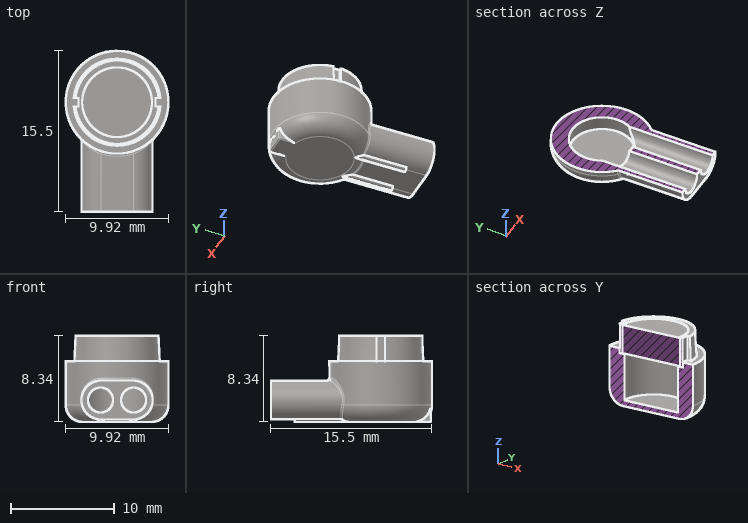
import cadquery as cq
cup_diameter = 9.92
cup_radius = cup_diameter / 2
cup_height = 5.87
cup_bottom_fillet = 1.66
cavity_diameter = 6.35
cavity_floor = 0.67

recess_diameter = 8.39
recess_depth = 0.5
recess_floor = cup_height - recess_depth

total_length = 15.53
spout_end = cup_radius - total_length
spout_height = 3.75
spout_flat_width = 3.12
spout_axis_height = 2.13
spout_bottom = spout_axis_height - spout_height / 2
spout_root_fillet = 0.25
bore_diameter = 2.4
bore_spacing = 3.18

rail_width = 0.65
rail_spacing = spout_flat_width
rail_end = -8.3
rail_overlap = 0.15

foot_width = 2.39
foot_back = 4.86
foot_height = 1.25
foot_fillet = 0.14

total_height = 8.34
collar_height = total_height - recess_floor
collar_top_diameter = 8.05
collar_bottom_diameter = 8.32
slot_width = 0.78
slot_floor_radius = 3.71
key_overlap = 0.15

disc_diameter = 6.72
disc_setback = 0.05


def key_blocks(bottom, height):
    """Two opposite blocks reaching from the slot floors to the recess wall and a little past it."""
    reach = recess_diameter / 2 + key_overlap - slot_floor_radius
    blocks = cq.Workplane("XY")
    for side in (-1, 1):
        block = cq.Workplane("XY").box(reach, slot_width, height, centered=(True, True, False))
        blocks = blocks.add(block.translate((side * (slot_floor_radius + reach / 2), 0, bottom)))
    return blocks.combine()


def make_cup():
    cup = cq.Workplane("XY").circle(cup_radius).extrude(cup_height)
    return cup.faces("<Z").edges().fillet(cup_bottom_fillet)


def make_spout():
    profile = cq.Workplane("XZ", origin=(0, 0, spout_axis_height))
    return profile.slot2D(spout_flat_width + spout_height, spout_height).extrude(-spout_end)


def make_rail(x):
    """Rail with a half-round underside, running from the cup axis to the rail end."""
    radius = rail_width / 2
    top = spout_bottom + rail_overlap
    profile = (
        cq.Workplane("XZ", origin=(x, 0, 0))
        .moveTo(-radius, top)
        .lineTo(-radius, radius)
        .threePointArc((0, 0), (radius, radius))
        .lineTo(radius, top)
        .close()
    )
    return profile.extrude(-rail_end)


def make_foot():
    foot = cq.Workplane("XY").box(foot_width, foot_back, foot_height, centered=(True, False, False))
    return foot.edges("(|Z and >Y) or (<Z and (not <Y))").fillet(foot_fillet)


def make_housing():
    housing = make_cup().union(make_spout())
    housing = housing.edges("not (%CIRCLE or %LINE)").fillet(spout_root_fillet)
    for side in (-1, 1):
        housing = housing.union(make_rail(side * rail_spacing / 2))
    housing = housing.union(make_foot())

    cavity = (
        cq.Workplane("XY", origin=(0, 0, cavity_floor))
        .circle(cavity_diameter / 2).extrude(recess_floor - cavity_floor)
    )
    recess = (
        cq.Workplane("XY", origin=(0, 0, recess_floor))
        .circle(recess_diameter / 2).extrude(recess_depth)
    )
    recess = recess.cut(key_blocks(recess_floor, recess_depth))
    bores = (
        cq.Workplane("XZ", origin=(0, 0, spout_axis_height))
        .pushPoints([(-bore_spacing / 2, 0), (bore_spacing / 2, 0)])
        .circle(bore_diameter / 2).extrude(-spout_end)
    )
    return housing.cut(bores).cut(cavity).cut(recess)


def make_collar():
    cone = cq.Solid.makeCone(
        collar_bottom_diameter / 2,
        collar_top_diameter / 2,
        collar_height,
        pnt=cq.Vector(0, 0, recess_floor),
    )
    bore = cq.Workplane("XY", origin=(0, 0, recess_floor)).circle(disc_diameter / 2).extrude(collar_height)
    return cq.Workplane(cone).cut(bore).cut(key_blocks(recess_floor, collar_height))


def make_disc():
    disc = cq.Workplane("XY", origin=(0, 0, recess_floor)).circle(disc_diameter / 2)
    return disc.extrude(collar_height - disc_setback)


housing = make_housing()
collar = make_collar()
disc = make_disc()

result = cq.Compound.makeCompound([housing.val(), collar.val(), disc.val()])